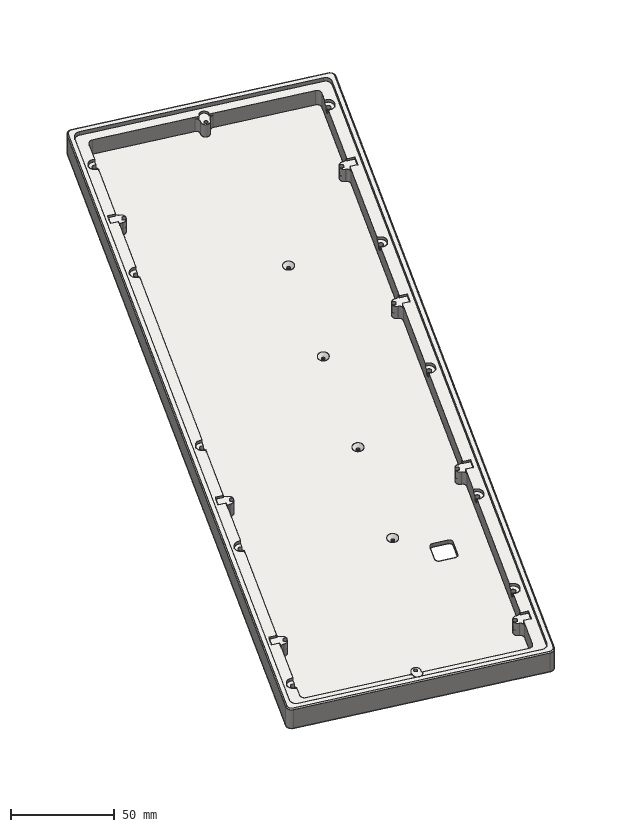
import cadquery as cq
import math

length = 383.36
width = 134.95
height = 16.05
corner_radius = 3.0
base_chamfer = 1.5
rim_chamfer = 0.6

floor_thickness = 2.8
ledge_height = 13.4
rim_thickness = 2.8
rim_corner_radius = 3.4
cavity_length = 368.6
cavity_width = 116.9
cavity_corner_radius = 2.4

post_width = 5.0
post_root_fillet = 2.0
pocket_depth = 1.5
post_top = ledge_height - pocket_depth
pocket_reach = 4.0
post_hole_depth = 6.0
post_embed = 1.0

long_post_reach = 4.6
long_post_hole_diameter = 2.28
long_post_hole_offset = 3.5
back_post_xs = (-136.0, -45.5, 64.0, 164.0)
front_post_xs = (-133.5, 52.5, 145.0)

end_post_reach = 4.9
end_post_hole_diameter = 1.77
end_post_hole_offset = 3.2
end_pocket_diameter = 5.2

seat_diameter = 6.6
seat_depth = 2.0
seat_hole_diameter = 2.6
seat_hole_depth = 3.0
seat_offset = 0.9
back_seat_xs = (-174.0, -83.3, 0.0, 83.3, 145.7)
front_seat_xs = (-169.0, -97.7, 16.6, 83.3, 173.8)

floor_hole_diameter = 1.75
floor_countersink_diameter = 5.8
floor_countersink_depth = 1.6
floor_hole_pitch = 60.0
floor_hole_count = 4
floor_hole_y = 15.0

window_size = 11.6
window_corner_radius = 2.0
window_x = 104.5
window_y = 36.5


def rounded_block(size_x, size_y, radius, bottom, top):
    """Centred rectangular block with rounded vertical edges."""
    block = cq.Workplane("XY").workplane(offset=bottom).rect(size_x, size_y).extrude(top - bottom)
    return block.edges("|Z").fillet(radius)


def cylinder(x, y, diameter, bottom, top):
    return cq.Workplane("XY", origin=(x, y, bottom)).circle(diameter / 2).extrude(top - bottom)


def make_post(reach, hole_diameter, hole_offset):
    """Post reaching toward -Y from a wall along y = 0, with filleted roots and a rounded tip."""
    radius = post_width / 2
    fillet = post_root_fillet
    mid = fillet * (1 - math.sqrt(0.5))
    tip_centre = radius - reach
    bottom = floor_thickness - post_embed
    post = (
        cq.Workplane("XY", origin=(0, 0, bottom))
        .moveTo(-radius - fillet, post_embed)
        .lineTo(-radius - fillet, 0)
        .threePointArc((-radius - mid, -mid), (-radius, -fillet))
        .lineTo(-radius, tip_centre)
        .threePointArc((0, -reach), (radius, tip_centre))
        .lineTo(radius, -fillet)
        .threePointArc((radius + mid, -mid), (radius + fillet, 0))
        .lineTo(radius + fillet, post_embed)
        .close()
        .extrude(post_top - bottom)
    )
    return post.cut(cylinder(0, -hole_offset, hole_diameter, post_top - post_hole_depth, post_top))


def square_pocket():
    """Pocket as wide as a post, cut back into the ledge from a wall along y = 0."""
    pocket = cq.Workplane("XY", origin=(0, 0, post_top)).center(0, pocket_reach / 2)
    return pocket.rect(post_width, pocket_reach).extrude(height - post_top)


def add_post(tray, post, pocket, turn, x, y):
    """Turn a post and its pocket about Z, set them on the wall at x, y and apply them."""
    axis = ((0, 0, 0), (0, 0, 1))
    placed_post = post.rotate(*axis, turn).translate((x, y, 0))
    placed_pocket = pocket.rotate(*axis, turn).translate((x, y, 0))
    return tray.union(placed_post).cut(placed_pocket)


def make_tray():
    tray = rounded_block(length, width, corner_radius, 0, height)
    tray = tray.faces("<Z").chamfer(base_chamfer).faces(">Z").chamfer(rim_chamfer)
    rim_opening = rounded_block(
        length - 2 * rim_thickness, width - 2 * rim_thickness, rim_corner_radius, ledge_height, height
    )
    cavity = rounded_block(cavity_length, cavity_width, cavity_corner_radius, floor_thickness, height)
    return tray.cut(rim_opening).cut(cavity)


def add_posts(tray):
    long_post = make_post(long_post_reach, long_post_hole_diameter, long_post_hole_offset)
    long_pocket = square_pocket()
    for x in back_post_xs:
        tray = add_post(tray, long_post, long_pocket, 0, x, cavity_width / 2)
    for x in front_post_xs:
        tray = add_post(tray, long_post, long_pocket, 180, x, -cavity_width / 2)

    end_post = make_post(end_post_reach, end_post_hole_diameter, end_post_hole_offset)
    end_pocket = cylinder(0, 0, end_pocket_diameter, post_top, height)
    tray = add_post(tray, end_post, end_pocket, 90, -cavity_length / 2, 0)
    return add_post(tray, end_post, end_pocket, -90, cavity_length / 2, 0)


def cut_seats(tray):
    seat_floor = ledge_height - seat_depth
    seat_y = cavity_width / 2 + seat_offset
    for y, xs in ((seat_y, back_seat_xs), (-seat_y, front_seat_xs)):
        for x in xs:
            tray = tray.cut(cylinder(x, y, seat_diameter, seat_floor, ledge_height))
            tray = tray.cut(cylinder(x, y, seat_hole_diameter, seat_floor - seat_hole_depth, seat_floor))
    return tray


def cut_floor_holes(tray):
    first_x = -floor_hole_pitch * (floor_hole_count - 1) / 2
    for i in range(floor_hole_count):
        x = first_x + i * floor_hole_pitch
        tray = tray.cut(cylinder(x, floor_hole_y, floor_hole_diameter, 0, floor_thickness))
        cone = cq.Solid.makeCone(
            floor_hole_diameter / 2,
            floor_countersink_diameter / 2,
            floor_countersink_depth,
            pnt=cq.Vector(x, floor_hole_y, floor_thickness - floor_countersink_depth),
        )
        tray = tray.cut(cq.Workplane(cone))
    return tray


def cut_window(tray):
    window = rounded_block(window_size, window_size, window_corner_radius, 0, floor_thickness)
    return tray.cut(window.translate((window_x, window_y, 0)))


result = cut_window(cut_floor_holes(cut_seats(add_posts(make_tray()))))